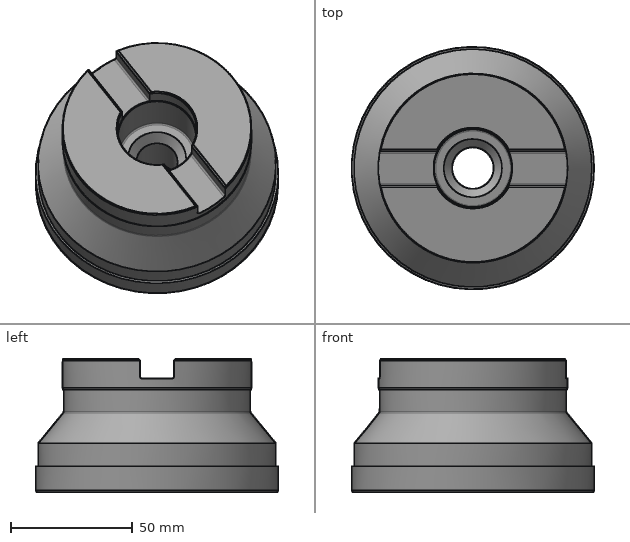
import cadquery as cq

total_height = 55.0
base_radius = 50.0
base_height = 10.8
base_edge_height = 0.8
base_edge_inset = 0.4
body_radius = 49.0
body_top = 20.2
neck_radius = 38.5
cone_top = 33.0
neck_fillet = 1.0
flange_radius = 39.0
flange_bottom = 42.2
flange_lower_edge_height = 0.8
flange_lower_edge_inset = 0.3
flange_top_edge_height = 0.8
flange_top_edge_inset = 0.3

bore_radius = 16.25
bore_entry_height = 0.8
bore_entry_flare = 0.45
seat_radius = 16.0
seat_top = 46.6
seat_entry_chamfer = bore_radius - seat_radius
bore_floor = 25.0
bore_floor_fillet = 0.6
through_radius = 8.5
countersink_radius = 12.0

slot_width = 14.0
slot_depth = 8.0
slot_edge_chamfer = 0.8
slot_floor_fillet = 0.8


def make_body():
    """Revolve the stepped outer profile around Z."""
    profile = (
        cq.Workplane("XZ")
        .moveTo(0, 0)
        .lineTo(base_radius - base_edge_inset, 0)
        .lineTo(base_radius, base_edge_height)
        .lineTo(base_radius, base_height)
        .lineTo(body_radius, base_height)
        .lineTo(body_radius, body_top)
        .lineTo(neck_radius, cone_top)
        .lineTo(neck_radius, flange_bottom)
        .lineTo(flange_radius - flange_lower_edge_inset, flange_bottom)
        .lineTo(flange_radius, flange_bottom + flange_lower_edge_height)
        .lineTo(flange_radius, total_height - flange_top_edge_height)
        .lineTo(flange_radius - flange_top_edge_inset, total_height)
        .lineTo(0, total_height)
        .close()
    )
    body = profile.revolve(360, (0, 0, 0), (0, 1, 0))
    neck_root = cq.selectors.BoxSelector(
        (-base_radius, -base_radius, cone_top - neck_fillet),
        (base_radius, base_radius, cone_top + neck_fillet),
        boundingbox=True,
    )
    return body.edges(neck_root).fillet(neck_fillet)


def make_bore():
    """Revolved cutter: chamfered entry, bore, seat step, countersink and through hole."""
    countersink_depth = countersink_radius - through_radius
    profile = (
        cq.Workplane("XZ")
        .moveTo(0, 0)
        .lineTo(through_radius, 0)
        .lineTo(through_radius, bore_floor - countersink_depth)
        .lineTo(countersink_radius, bore_floor)
        .lineTo(seat_radius - bore_floor_fillet, bore_floor)
        .radiusArc((seat_radius, bore_floor + bore_floor_fillet), -bore_floor_fillet)
        .lineTo(seat_radius, seat_top)
        .lineTo(bore_radius, seat_top + seat_entry_chamfer)
        .lineTo(bore_radius, total_height - bore_entry_height)
        .lineTo(bore_radius + bore_entry_flare, total_height)
        .lineTo(0, total_height)
        .close()
    )
    return profile.revolve(360, (0, 0, 0), (0, 1, 0))


def make_slot():
    """Slot cutter with rounded floor corners and chamfered top edges."""
    half_width = slot_width / 2
    floor = total_height - slot_depth
    chamfer_bottom = total_height - slot_edge_chamfer
    half_top = half_width + slot_edge_chamfer
    half_floor = half_width - slot_floor_fillet
    fillet_top = floor + slot_floor_fillet
    profile = (
        cq.Workplane("YZ")
        .moveTo(-half_floor, floor)
        .lineTo(half_floor, floor)
        .radiusArc((half_width, fillet_top), -slot_floor_fillet)
        .lineTo(half_width, chamfer_bottom)
        .lineTo(half_top, total_height)
        .lineTo(-half_top, total_height)
        .lineTo(-half_width, chamfer_bottom)
        .lineTo(-half_width, fillet_top)
        .radiusArc((-half_floor, floor), -slot_floor_fillet)
        .close()
    )
    return profile.extrude(base_radius, both=True)


result = make_body().cut(make_slot()).cut(make_bore())